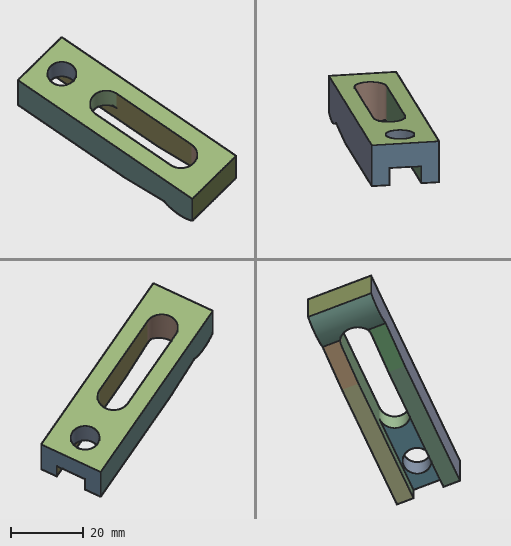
import cadquery as cq
import math

length = 63.0
width = 19.0
height = 12.0

ramp_start_x = 39.0
pad_start_x = 52.65
pad_low_x = 58.0
pad_radius = 10.0

hole_diameter = 8.0
hole_x = 8.0
slot_width = 9.0
slot_start_x = 19.5
slot_end_x = 55.5
groove_width = slot_width
groove_depth = 5.0


def pad_height(x):
    """Height of the nose pad surface, which touches Z = 0 at its lowest point."""
    return pad_radius - math.sqrt(pad_radius**2 - (x - pad_low_x) ** 2)


def make_body():
    return (
        cq.Workplane("XZ")
        .moveTo(0, 0)
        .lineTo(ramp_start_x, 0)
        .lineTo(pad_start_x, pad_height(pad_start_x))
        .threePointArc((pad_low_x, 0), (length, pad_height(length)))
        .lineTo(length, height)
        .lineTo(0, height)
        .close()
        .extrude(width / 2, both=True)
    )


def make_hole():
    return cq.Workplane("XY").center(hole_x, 0).circle(hole_diameter / 2).extrude(height)


def make_slot():
    slot_length = slot_end_x - slot_start_x
    slot_middle_x = (slot_start_x + slot_end_x) / 2
    return cq.Workplane("XY").center(slot_middle_x, 0).slot2D(slot_length, slot_width).extrude(height)


def make_groove():
    """Open channel in the underside, running from the tail into the slot."""
    groove_length = slot_start_x + slot_width / 2
    return cq.Workplane("XY").box(groove_length, groove_width, groove_depth, centered=(False, True, False))


result = make_body().cut(make_hole()).cut(make_slot()).cut(make_groove())